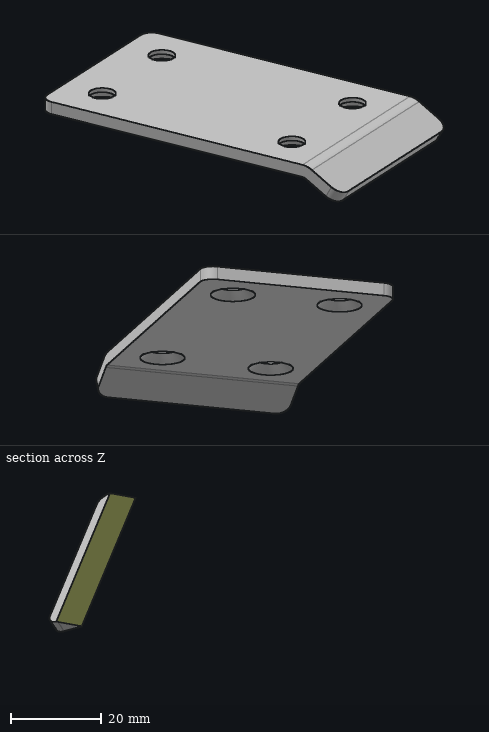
import cadquery as cq
import math

length = 78.9
width = 45.0
height = 7.7

thickness = 3.0
corner_radius = 3.0
bend_angle = 30.0
inner_bend_radius = 2.0
outer_bend_radius = inner_bend_radius + thickness

hole_diameter = 6.0
countersink_depth = 2.0
countersink_diameter = hole_diameter + 2 * countersink_depth
hole_inset = 10.0
right_hole_x = 60.0
left_hole_pitch = 24.9
right_hole_pitch = 25.3

sine = math.sin(math.radians(bend_angle))
cosine = math.cos(math.radians(bend_angle))
bend_drop = outer_bend_radius * (1 - cosine)
flange_length = (height - bend_drop - thickness * cosine) / sine
bend_start_x = length - outer_bend_radius * sine - flange_length * cosine
bend_center_z = -outer_bend_radius


def bend_point(radius, angle):
    """Point on the bend, at an angle turned from the flat plate."""
    turn = math.radians(angle)
    return (
        bend_start_x + radius * math.sin(turn),
        bend_center_z + radius * math.cos(turn),
    )


def along_flange(point):
    """Move a bend end point to the free end of the flange."""
    return (point[0] + flange_length * cosine, point[1] - flange_length * sine)


def make_bent_sheet():
    top_bend_end = bend_point(outer_bend_radius, bend_angle)
    bottom_bend_end = bend_point(inner_bend_radius, bend_angle)
    return (
        cq.Workplane("XZ")
        .moveTo(0, 0)
        .lineTo(bend_start_x, 0)
        .threePointArc(bend_point(outer_bend_radius, bend_angle / 2), top_bend_end)
        .lineTo(*along_flange(top_bend_end))
        .lineTo(*along_flange(bottom_bend_end))
        .lineTo(*bottom_bend_end)
        .threePointArc(
            bend_point(inner_bend_radius, bend_angle / 2),
            (bend_start_x, -thickness),
        )
        .lineTo(0, -thickness)
        .close()
        .extrude(width / 2, both=True)
    )


def round_corners(sheet):
    """Round the plate and flange corners across the sheet thickness."""
    flange_normal = cq.Vector(sine, 0, cosine)
    flange_corners = cq.selectors.ParallelDirSelector(flange_normal)
    return (
        sheet.edges("|Z").fillet(corner_radius)
        .edges(flange_corners).edges(">X").fillet(corner_radius)
    )


def make_hole():
    """Tool body for one hole: a straight bore that widens into the countersink."""
    bore = cq.Workplane("XY").circle(hole_diameter / 2).extrude(-thickness)
    countersink = (
        cq.Workplane("XY", origin=(0, 0, -thickness))
        .circle(countersink_diameter / 2)
        .workplane(offset=countersink_depth)
        .circle(hole_diameter / 2)
        .loft()
    )
    return bore.union(countersink)


def cut_holes(plate):
    top_row_y = width / 2 - hole_inset
    for x, pitch in ((hole_inset, left_hole_pitch), (right_hole_x, right_hole_pitch)):
        for y in (top_row_y, top_row_y - pitch):
            plate = plate.cut(make_hole().translate((x, y, 0)))
    return plate


result = cut_holes(round_corners(make_bent_sheet()))